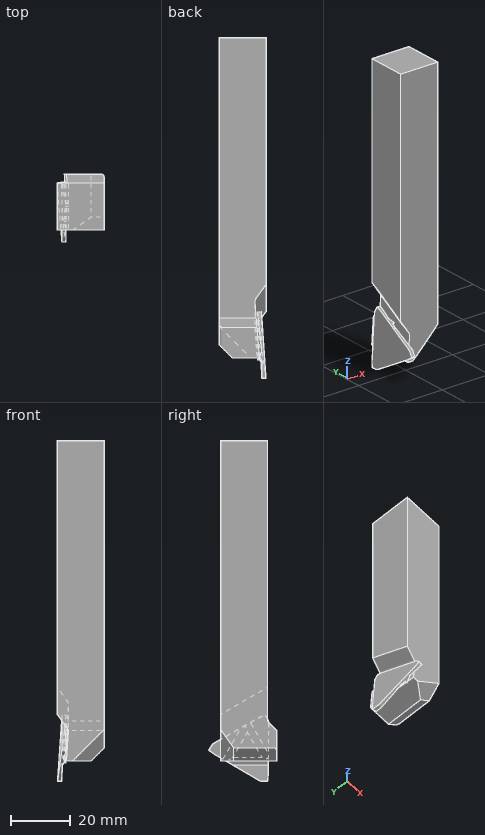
import cadquery as cq
import math

SHANK_SIDE = 15.8
OVERALL_LENGTH = 114.4
INSERT_OVERHANG = 6.9
SHANK_TOP = OVERALL_LENGTH - INSERT_OVERHANG

LIP_DEPTH = 3.1
LIP_OUTER_HEIGHT = 10.3
LIP_SLOPE_RISE = LIP_DEPTH
LIP_CORNER_RADIUS = 1.1

CHAMFER_LEG = 4.5
RELIEF_LEG = 10.6
RELIEF_DEPTH = (RELIEF_LEG - CHAMFER_LEG) / math.sqrt(2)

CORNER_COUNT = 3
CORNER_STEP = 360.0 / CORNER_COUNT
TIP_RADIUS = 12.9
TIP_ANGLE = -92.0
FLANK_LENGTH = 2.5
FLANK_ROUND = 1.1
FLANK_ANGLE = 55.5
RAKE_LENGTH = 2.4
RAKE_ANGLE = 38.0
RAKE_EDGE_ANGLE = 32.0
CORE_THICKNESS = 2.0
BLADE_THICKNESS = 1.4
BLADE_STEP = CORE_THICKNESS - BLADE_THICKNESS
BLADE_LENGTH = 5.6
BLADE_ROOT_STEP = 1.0
SHOULDER_LENGTH = 2.5

SEAT_DROP = math.radians(30.0)
SEAT_TILT = math.radians(4.5)
TIP_X = 1.43
TIP_Y = SHANK_SIDE
SEAT_LENGTH_ABOVE_TIP = 22.3
GROOVE_RADIUS = 1.8
GROOVE_WALL_ANGLE = math.radians(50.0)

CUTTER_REACH = 45.8

seat_direction = cq.Vector(0, -math.cos(SEAT_DROP), -math.sin(SEAT_DROP))
seat_normal = cq.Vector(
    -math.cos(SEAT_TILT),
    -math.sin(SEAT_TILT) * math.sin(SEAT_DROP),
    math.sin(SEAT_TILT) * math.cos(SEAT_DROP),
)
tip_point = cq.Vector(TIP_X, TIP_Y, -INSERT_OVERHANG)
seat_origin = tip_point - seat_normal * BLADE_STEP
seat_plane = cq.Plane(seat_origin, seat_direction, seat_normal)


def polar(radius, degrees):
    """Vector of the given length and direction in the insert's own plane."""
    angle = math.radians(degrees)
    return cq.Vector(radius * math.cos(angle), radius * math.sin(angle))


def make_lip():
    """Block on the +Y side with a sloping top and a rounded outer corner."""
    outer_y = SHANK_SIDE + LIP_DEPTH
    return (
        cq.Workplane("YZ")
        .lineTo(outer_y, 0)
        .lineTo(outer_y, LIP_OUTER_HEIGHT)
        .lineTo(SHANK_SIDE, LIP_OUTER_HEIGHT + LIP_SLOPE_RISE)
        .lineTo(0, LIP_OUTER_HEIGHT + LIP_SLOPE_RISE)
        .close()
        .extrude(SHANK_SIDE)
        .edges("|Z and >X and >Y")
        .fillet(LIP_CORNER_RADIUS)
    )


def corner_triangle(y, leg):
    """Triangle on the lower +X corner in the XZ plane at the given y."""
    return cq.Wire.makePolygon(
        [
            cq.Vector(SHANK_SIDE - leg, y, 0),
            cq.Vector(SHANK_SIDE, y, 0),
            cq.Vector(SHANK_SIDE, y, leg),
        ],
        close=True,
    )


def make_corner_relief():
    """Chamfer along the whole depth of the holder, flaring to the relief plane at the -Y side."""
    front = corner_triangle(0, RELIEF_LEG)
    middle = corner_triangle(RELIEF_DEPTH, CHAMFER_LEG)
    back = corner_triangle(SHANK_SIDE + LIP_DEPTH, CHAMFER_LEG)
    return cq.Workplane(cq.Solid.makeLoft([front, middle, back], True))


def make_seat_cutter():
    """Space above the tilted seat, closed at the top by a rounded groove and its sloping wall."""
    section = cq.Plane(seat_origin, (1, 0, 0), seat_direction)
    seat_slope = math.tan(SEAT_TILT)
    floor_x = SEAT_LENGTH_ABOVE_TIP * seat_slope

    def on_arc(angle):
        """Point on the groove's arc, turned by `angle` from the groove floor."""
        return (
            floor_x - GROOVE_RADIUS * (1 - math.cos(angle)),
            SEAT_LENGTH_ABOVE_TIP + GROOVE_RADIUS * math.sin(angle),
        )

    turn = math.pi / 2 - GROOVE_WALL_ANGLE
    wall_foot = on_arc(turn)
    wall_run = TIP_X + CUTTER_REACH
    wall_top = (
        wall_foot[0] - wall_run,
        wall_foot[1] + wall_run * math.tan(GROOVE_WALL_ANGLE),
    )
    return (
        cq.Workplane(section)
        .moveTo(-CUTTER_REACH * seat_slope, -CUTTER_REACH)
        .lineTo(*on_arc(0))
        .threePointArc(on_arc(turn / 2), wall_foot)
        .lineTo(*wall_top)
        .lineTo(wall_top[0], -CUTTER_REACH)
        .close()
        .extrude(CUTTER_REACH, both=True)
    )


def make_holder():
    """Shank and lip, cut by the corner relief and the insert seat."""
    shank = cq.Workplane("XY").box(SHANK_SIDE, SHANK_SIDE, SHANK_TOP, centered=False)
    return shank.union(make_lip()).cut(make_corner_relief()).cut(make_seat_cutter()).solids()


def make_blade_relief(tip, inward):
    """Cutter that thins the seat side of one corner; `inward` points from tip to centre."""
    along = polar(1, inward + RAKE_EDGE_ANGLE)
    across = cq.Vector(0, 0, 1).cross(along) * -1
    return (
        cq.Workplane(cq.Plane(tip, along, across))
        .moveTo(-BLADE_STEP, 0)
        .lineTo(-BLADE_STEP, BLADE_STEP)
        .lineTo(0, BLADE_STEP)
        .lineTo(BLADE_LENGTH, BLADE_ROOT_STEP)
        .lineTo(BLADE_LENGTH + SHOULDER_LENGTH, 0)
        .close()
        .extrude(TIP_RADIUS, both=True)
    )


def make_insert():
    """Insert lying on its seat face, then placed on the holder's seat."""
    outline = []
    flank_ends = []
    reliefs = []
    for corner in range(CORNER_COUNT):
        tip_angle = TIP_ANGLE + corner * CORNER_STEP
        inward = tip_angle + 180.0
        tip = polar(TIP_RADIUS, tip_angle)
        rake_end = tip + polar(RAKE_LENGTH, inward + RAKE_ANGLE)
        flank_end = tip + polar(FLANK_LENGTH, inward - FLANK_ANGLE)
        outline += [rake_end, tip, flank_end]
        flank_ends.append(flank_end)
        reliefs.append(make_blade_relief(tip, inward))

    insert = cq.Workplane("XY").polyline(outline).close().extrude(CORE_THICKNESS)
    for flank_end in flank_ends:
        edge_middle = flank_end + cq.Vector(0, 0, CORE_THICKNESS / 2)
        flank_edge = cq.selectors.NearestToPointSelector(edge_middle.toTuple())
        insert = insert.edges(flank_edge).fillet(FLANK_ROUND)
    for relief in reliefs:
        insert = insert.cut(relief)

    lowest_tip = polar(TIP_RADIUS, TIP_ANGLE)
    on_seat = insert.solids().val().translate(lowest_tip * -1).moved(cq.Location(seat_plane))
    return cq.Workplane(on_seat)


holder = make_holder()
insert = make_insert()

result = cq.Compound.makeCompound([holder.val(), insert.val()])